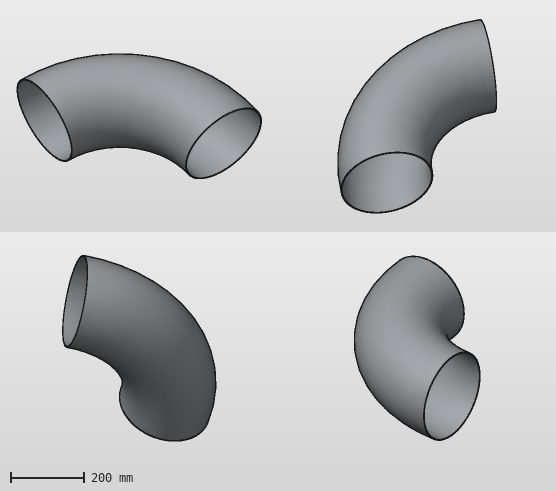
import cadquery as cq

bore_diameter = 250.0
wall_thickness = 3.0
bend_radius = 350.0
bend_angle = 90.0

outer_diameter = bore_diameter + 2 * wall_thickness


def pipe_elbow():
    """Thin-walled pipe bend: a ring swept about an axis parallel to Z.

    One open end is centred on the origin and faces -Y; the other faces +X.
    """
    ring = (
        cq.Workplane("XZ")
        .circle(outer_diameter / 2)
        .circle(bore_diameter / 2)
    )
    axis_start = (bend_radius, 0)
    axis_end = (bend_radius, -1)
    return ring.revolve(bend_angle, axis_start, axis_end)


result = pipe_elbow()